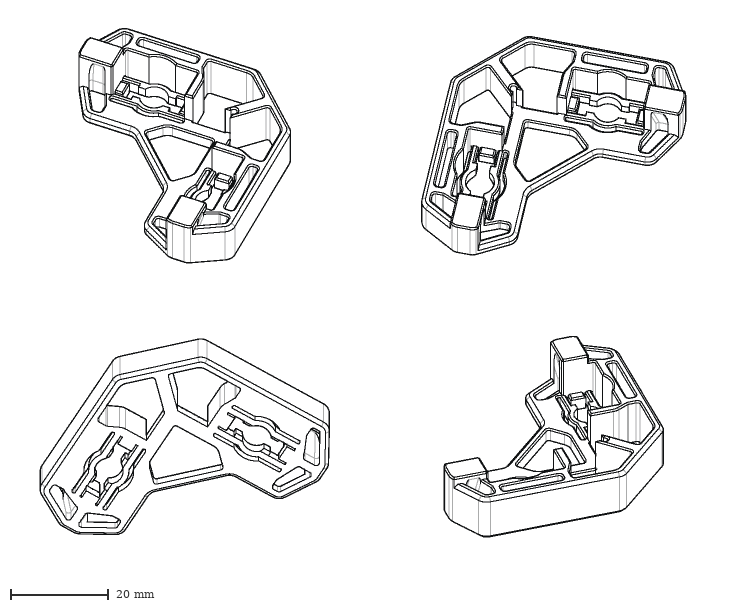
import cadquery as cq
import math


arm_reach = 48.0
arm_width = 20.0
arm_mid = -arm_width / 2
tip_half_width = 1.95
tip_angle = math.radians(30)
shoulder = -arm_reach + (arm_width / 2 - tip_half_width) * math.tan(tip_angle)
back_corner_cut = 13.05
front_corner_cut = 52.1
corner_radius = 2.5
edge_chamfer = 0.75

plate_height = 2.9
rim_height = 10.0
block_height = 11.6

lip_chamfer = 0.35
chamfer_share = 0.999

rim_wall = 1.9
small_radius = 0.6
clearance = 0.5
select_margin = 0.05

clip_x = -32.0
clip_half_length = 8.0
clip_half_width = 4.15
bulge_radius = 5.1
pocket_radius = 0.4
slot_end_radius = 0.25
block_face = clip_x - clip_half_length
wing_face = clip_x + clip_half_length
wing_outer = -22.05
wing_bend_back = -4.3
wing_bend_front = -7.3
wing_bend_radius = 2.9
block_half_width = 2.95
low_edge = arm_mid - block_half_width
relief_radius = 0.65

bar_outer = 3.35
bar_inner = 2.05
bar_outer_radius = 4.15
hole_radius = 2.95
lug_half_length = 4.15
lug_inner = 1.4
stop_half_width = 1.65
stop_length = 1.8

groove_length = 13.15
groove_width = 1.9

strut_half_width = 1.4
back_window_end = -23.45
front_window_edge = -16.05
front_window_spread = 10.3

tip_opening_face = -40.35
tip_opening_bend = -4.1
tip_opening_slope = math.radians(24)
recess_depth = 1.95
recess_back = arm_mid + block_half_width - recess_depth
recess_top = 10.55
recess_step = 3.2


def mirrored(body):
    """Return the body of one arm together with its twin on the other arm."""
    return body.union(body.mirror(cq.Vector(1, -1, 0)))


def prism(points, bottom, top):
    return cq.Workplane("XY").workplane(offset=bottom).polyline(points).close().extrude(top - bottom)


def box(x_range, y_range, z_range):
    (x0, x1), (y0, y1), (z0, z1) = x_range, y_range, z_range
    return prism([(x0, y0), (x1, y0), (x1, y1), (x0, y1)], z0, z1)


def rounded_prism(corners, top, bottom=-clearance):
    """Upright prism through (x, y, radius) corners, each rounded to its own radius."""
    body = prism([(x, y) for x, y, _ in corners], bottom, top)
    for x, y, radius in corners:
        if radius:
            corner = cq.selectors.NearestToPointSelector((x, y, (top + bottom) / 2))
            body = body.edges("|Z").edges(corner).fillet(radius)
    return body


def flared(body, top):
    """Add a 45 degree lip to an upright cutter where it leaves the surface at the given height."""
    outline = body.faces("<Z").wires().vals()[0]
    base = outline.BoundingBox().zmin
    grown = outline.offset2D(lip_chamfer)[0].translate(cq.Vector(0, 0, top - lip_chamfer - base))
    lip = cq.Workplane(cq.Solid.extrudeLinear(grown, [], cq.Vector(0, 0, lip_chamfer + clearance)))
    return body.union(lip.faces("<Z").edges().chamfer(lip_chamfer * chamfer_share))


def outline_prism(height):
    """Outline of the whole bracket, with upright sides."""
    elbow = -(front_corner_cut - arm_width)
    arm = [
        (-back_corner_cut, 0, corner_radius),
        (shoulder, 0, corner_radius),
        (-arm_reach, arm_mid + tip_half_width, corner_radius),
        (-arm_reach, arm_mid - tip_half_width, corner_radius),
        (shoulder, -arm_width, corner_radius),
        (elbow, -arm_width, corner_radius),
    ]
    corners = arm + [(y, x, radius) for x, y, radius in reversed(arm)]
    return rounded_prism(corners, height, 0)


def slab(height):
    """Full outline with its top and bottom edges chamfered."""
    return outline_prism(height).faces("<Z or >Z").edges().chamfer(edge_chamfer)


def clip_area(half_width, radius, bottom, top):
    """Straight track with a round bulge at the middle of the clip."""
    track = box((block_face, wing_face), (arm_mid - half_width, arm_mid + half_width), (bottom, top))
    track = track.edges("|Z").fillet(pocket_radius)
    bulge = cq.Workplane("XY").workplane(offset=bottom).center(clip_x, arm_mid).circle(radius)
    return track.union(bulge.extrude(top - bottom))


def low_region():
    """Space in front of the rim; the plate fills only its lowest part."""
    bottom = -clearance
    top = block_height + clearance
    pocket = clip_area(clip_half_width, bulge_radius, bottom, top)
    far = -arm_reach - clearance
    front = box((far, low_edge), (far, low_edge), (bottom, top))
    relief = cq.Workplane("XY").workplane(offset=bottom).center(low_edge, low_edge).circle(relief_radius)
    region = front.union(mirrored(pocket)).union(relief.extrude(top - bottom))
    return flared(region, rim_height)


def back_window(top):
    """Opening between the wing, the back rim and the diagonal strut."""
    slant = back_corner_cut + rim_wall * math.sqrt(2)
    strut = strut_half_width * math.sqrt(2)
    corners = [
        (back_window_end, -rim_wall, small_radius),
        (rim_wall - slant, -rim_wall, corner_radius),
        (-(slant + strut) / 2, -(slant - strut) / 2, small_radius),
        (low_edge - strut, low_edge, 0),
        (wing_outer, low_edge, 0),
        (wing_outer, wing_bend_front, wing_bend_radius),
        (back_window_end, wing_bend_back, small_radius),
    ]
    return rounded_prism(corners, top)


def front_window():
    """Opening in the plate behind the diagonal front edge."""
    spread = front_window_spread
    edge = front_window_edge
    slant = front_corner_cut - rim_wall * math.sqrt(2)
    half = [
        (edge - spread, edge, corner_radius),
        (-(slant + spread) / 2, -(slant - spread) / 2, small_radius),
    ]
    corners = [(edge, edge, small_radius)] + half + [(y, x, radius) for x, y, radius in reversed(half)]
    return rounded_prism(corners, plate_height)


def tip_opening(top):
    """Opening between the block and the back rim; it runs on a little way below the block."""
    start = shoulder + rim_wall / math.cos(tip_angle) - rim_wall * math.tan(tip_angle)
    corners = [
        (tip_opening_face, -rim_wall, small_radius),
        (start, -rim_wall, small_radius),
        (start + (recess_back + rim_wall) * math.tan(tip_angle), recess_back, 0),
        (tip_opening_face + (recess_back - tip_opening_bend) * math.tan(tip_opening_slope), recess_back, 0),
        (tip_opening_face, tip_opening_bend, small_radius),
    ]
    return rounded_prism(corners, top)


def along_arm(profile, start, end):
    """Extrude a (y, z) profile, centred on the arm, from x = start to x = end."""
    points = [(arm_mid + y, z) for y, z in profile]
    return cq.Workplane("YZ").workplane(offset=start).polyline(points).close().extrude(end - start)


def recess_limit():
    """Space that leaves a sloping roof over the part of the tip opening below the block."""
    side = block_half_width
    back = side - recess_depth
    top = block_height + clearance
    profile = [(-arm_mid, -clearance), (-arm_mid, top), (side, top),
               (side, recess_top), (back, recess_step), (back, -clearance)]
    return along_arm(profile, -arm_reach, 0)


def recess_cutter():
    """Tip opening with its sloping roof; the corners below the block are rounded."""
    body = tip_opening(block_height).intersect(recess_limit())
    low_corner = (-arm_reach, recess_back - select_margin, -2 * clearance)
    high_corner = (0, recess_back + recess_depth - select_margin, recess_top)
    deep_edges = body.edges(cq.selectors.BoxSelector(low_corner, high_corner))
    return deep_edges.edges("not |X").fillet(small_radius)


def across_arm(body):
    """Mirror a body across the middle of the arm."""
    return body.mirror("XZ", (0, arm_mid, 0))


def block_space():
    """Front half of the block footprint, kept clear of the rim so that the block corner shows."""
    return box((-arm_reach, block_face), (low_edge, arm_mid), (plate_height, block_height))


def rim():
    """Tall back walls, wings and diagonal strut."""
    body = slab(rim_height).cut(low_region()).cut(mirrored(block_space()))
    groove = (cq.Workplane("XY").workplane(offset=plate_height)
              .center(clip_x, -rim_wall - groove_width / 2).rect(groove_length, groove_width)
              .extrude(rim_height - plate_height).edges("|Z").fillet(small_radius))
    for cutter in (groove, back_window(rim_height), tip_opening(rim_height)):
        body = body.cut(mirrored(flared(cutter, rim_height)))
    return body


def clip_slots():
    """The two slots that free the spring bars from the plate and the rim."""
    wide = clip_area(clip_half_width, bulge_radius, -clearance, plate_height)
    narrow = (clip_area(bar_outer, bar_outer_radius, -clearance, plate_height)
              .union(box((block_face, wing_face), (arm_mid - bar_outer, arm_mid + bar_outer),
                         (-clearance, plate_height))))
    upper_slot, lower_slot = (
        flared(cq.Workplane(slot).edges("|Z").edges("<X or >X").fillet(slot_end_radius), plate_height)
        for slot in wide.cut(narrow).solids().vals())
    return upper_slot.union(lower_slot)


def clip_hole():
    """Middle opening of the clip, with its long straight edges chamfered clear of the lugs."""
    lip = bar_inner + lip_chamfer
    profile = [(-lip, plate_height), (-bar_inner, plate_height - lip_chamfer), (-bar_inner, -clearance),
               (bar_inner, -clearance), (bar_inner, plate_height - lip_chamfer), (lip, plate_height)]
    track = along_arm(profile, block_face, wing_face)
    z_range = (-clearance, plate_height + clearance)
    lugs = box((clip_x - lug_half_length, clip_x + lug_half_length),
               (arm_mid - bar_outer, arm_mid + bar_outer), z_range)
    lug_bevel = bar_inner - lug_inner
    gap_profile = [(-lug_inner, z_range[1]), (-lug_inner, lug_bevel), (-bar_inner, 0),
                   (-bar_inner, z_range[0]), (bar_inner, z_range[0]), (bar_inner, 0),
                   (lug_inner, lug_bevel), (lug_inner, z_range[1])]
    gap = along_arm(gap_profile, clip_x - lug_half_length, clip_x + lug_half_length)
    hole = cq.Workplane("XY").workplane(offset=-clearance).center(clip_x, arm_mid).circle(hole_radius)
    return track.cut(lugs).union(gap).union(hole.extrude(plate_height + 2 * clearance))


def clip_stops():
    """Short stops that stand out from the block and from the wing into the clip opening."""
    y_range = (arm_mid - stop_half_width, arm_mid + stop_half_width)
    stops = None
    for near, far in ((block_face, block_face + stop_length), (wing_face - stop_length, wing_face)):
        stop = box((near, far), y_range, (0, plate_height))
        free_side = ">X" if near == block_face else "<X"
        stop = stop.faces(">Z").edges("|X or " + free_side).chamfer(lip_chamfer)
        stops = stop if stops is None else stops.union(stop)
    return stops


def plate():
    """Low plate with its windows; the rim later covers the back part of it."""
    body = slab(plate_height).cut(flared(front_window(), plate_height))
    body = body.cut(mirrored(flared(back_window(plate_height), plate_height)))
    body = body.cut(mirrored(flared(across_arm(tip_opening(plate_height)), plate_height)))
    return body


def block():
    """Tall end block at the tip of the arm."""
    body = outline_prism(block_height).faces("<Z").edges().chamfer(edge_chamfer)
    body = body.intersect(box((-arm_reach - clearance, block_face),
                              (arm_mid - block_half_width, arm_mid + block_half_width), (0, block_height)))
    body = body.edges("|Z").edges(">X").chamfer(lip_chamfer)
    return body.faces(">Z").edges().chamfer(lip_chamfer)


recess = recess_cutter()
tip_cut = recess.union(across_arm(recess))
clipped_plate = plate().cut(mirrored(clip_slots().union(clip_hole())))
bracket = rim().union(clipped_plate).union(mirrored(block()))
result = bracket.cut(mirrored(tip_cut)).union(mirrored(clip_stops()))